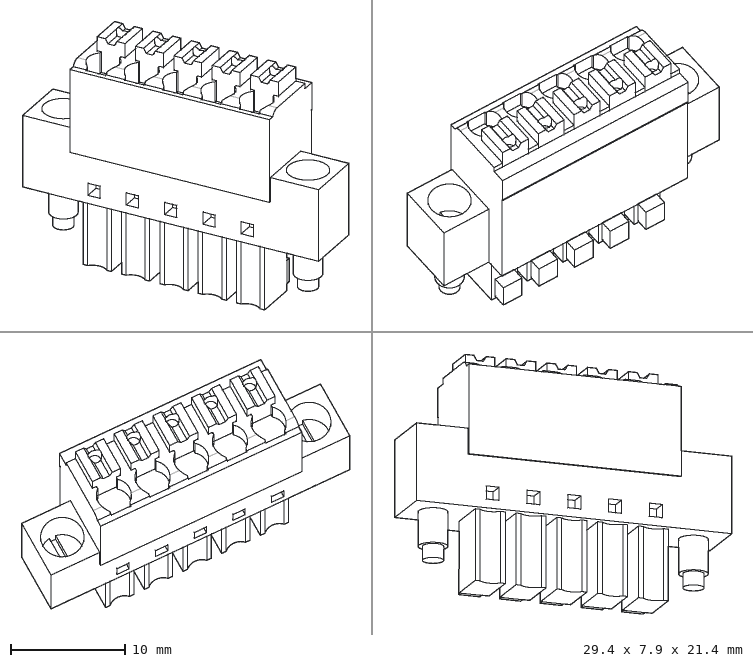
import cadquery as cq
import math


pole_count = 5
pole_pitch = 3.81
pole_positions = [(i - (pole_count - 1) / 2) * pole_pitch for i in range(pole_count)]

overall_width = 29.44
body_width = 19.84
base_front_y = 0.18
base_back_y = 5.8
flange_height = 7.1
front_panel_bottom_z = 4.72
body_back_y = 7.81
back_lip_y = 7.9
back_lip_bottom_z = 10.24
ledge_z = 12.93
body_top_z = 13.45
step_back_y = 6.6
round_front_y = 0.62
round_back_y = 1.42

entry_center_y = 1.95
entry_diameter = 3.06
entry_slot_width = 1.95
entry_slot_length = 2.84
entry_floor_z = 11.4

test_opening_size = 1.2
test_opening_z = 1.4
test_opening_depth = 1.5

finger_width = 2.8
finger_front_y = 0.8
finger_back_y = 4.92
finger_length = 6.55
finger_groove_width = 1.9
finger_groove_depth = 0.4
catch_width = 2.0
catch_back_y = 6.15
catch_top_z = -4.0
catch_bottom_z = -6.32

lever_width = 2.77
lever_front_y = entry_center_y + entry_slot_length / 2
lever_back_y = step_back_y
lever_top_z = 14.85
lever_groove_top_width = 1.15
lever_groove_floor_width = 0.63
lever_groove_depth = 0.45
lever_hole_diameter = 1.2
lever_hole_y = 5.59
lever_hole_depth = 1.5

screw_positions = [-12.16, 12.16]
screw_y = (base_front_y + base_back_y) / 2
screw_head_diameter = 3.8
screw_head_bottom_z = 1.5
screw_head_top_z = 3.5
screw_slot_width = 0.62
screw_slot_depth = 0.8
screw_shank_diameter = 2.6
screw_shank_end_z = -3.16
screw_tip_diameter = 1.88
screw_tip_end_z = -4.44


def block(x_center, width, y_range, z_range):
    """Box centred on x_center, spanning the given Y and Z ranges."""
    depth = y_range[1] - y_range[0]
    height = z_range[1] - z_range[0]
    corner = (x_center - width / 2, y_range[0], z_range[0])
    return cq.Workplane("XY").box(width, depth, height, centered=False).translate(corner)


def upright_cylinder(x, y, diameter, z_range):
    """Vertical cylinder between two heights."""
    height = z_range[1] - z_range[0]
    return cq.Workplane("XY", origin=(x, y, z_range[0])).circle(diameter / 2).extrude(height)


def make_body_block():
    """Main block: stepped back, rounded front shoulder, shallow lips front and back."""
    drop = body_top_z - ledge_z
    run = round_back_y - round_front_y
    radius = (run**2 + drop**2) / (2 * drop)
    half_angle = math.asin(run / radius) / 2
    shoulder_mid = (
        round_back_y - radius * math.sin(half_angle),
        body_top_z - radius * (1 - math.cos(half_angle)),
    )
    return (
        cq.Workplane("YZ", origin=(-body_width / 2, 0, 0))
        .moveTo(base_front_y, 0)
        .lineTo(base_front_y, front_panel_bottom_z)
        .lineTo(0, front_panel_bottom_z)
        .lineTo(0, ledge_z)
        .lineTo(round_front_y, ledge_z)
        .threePointArc(shoulder_mid, (round_back_y, body_top_z))
        .lineTo(step_back_y, body_top_z)
        .lineTo(step_back_y, ledge_z)
        .lineTo(back_lip_y, ledge_z)
        .lineTo(back_lip_y, back_lip_bottom_z)
        .lineTo(body_back_y, back_lip_bottom_z)
        .lineTo(body_back_y, 0)
        .close()
        .extrude(body_width)
    )


def make_finger(x):
    """Plug finger under the housing: concave groove down the front, catch at the back."""
    finger = block(x, finger_width, (finger_front_y, finger_back_y), (-finger_length, 0))
    catch = block(x, catch_width, (finger_back_y, catch_back_y), (catch_bottom_z, catch_top_z))
    half_width = finger_groove_width / 2
    groove_radius = (half_width**2 + finger_groove_depth**2) / (2 * finger_groove_depth)
    groove_axis_y = finger_front_y + finger_groove_depth - groove_radius
    groove = upright_cylinder(x, groove_axis_y, 2 * groove_radius, (-finger_length, 0))
    return finger.union(catch).cut(groove)


def make_wire_entry(x):
    """Cutter for a wire entry: round hole with flat-ended reliefs front and back."""
    z_range = (entry_floor_z, body_top_z)
    half_length = entry_slot_length / 2
    y_range = (entry_center_y - half_length, entry_center_y + half_length)
    hole = upright_cylinder(x, entry_center_y, entry_diameter, z_range)
    relief = block(x, entry_slot_width, y_range, z_range)
    reach = block(x, entry_diameter, y_range, z_range)
    return hole.intersect(reach).union(relief)


def make_lever_blank(x):
    """Plain lever block, also used to cut its pocket in the housing."""
    return block(x, lever_width, (lever_front_y, lever_back_y), (entry_floor_z, lever_top_z))


def make_test_opening(x):
    """Cutter for the square opening in the front face below a pole."""
    half_size = test_opening_size / 2
    return block(
        x,
        test_opening_size,
        (base_front_y, base_front_y + test_opening_depth),
        (test_opening_z - half_size, test_opening_z + half_size),
    )


def make_screw_bore(x):
    """Cutter for a counterbored screw hole through a flange."""
    bore = upright_cylinder(x, screw_y, screw_head_diameter, (screw_head_bottom_z, flange_height))
    return bore.union(upright_cylinder(x, screw_y, screw_shank_diameter, (0, screw_head_bottom_z)))


def make_housing():
    """Insulating housing with flanges, wire entries, lever pockets and plug fingers."""
    flanges = block(0, overall_width, (base_front_y, base_back_y), (0, flange_height))
    body = make_body_block().union(flanges)
    for x in pole_positions:
        body = body.union(make_finger(x))
        body = body.cut(make_wire_entry(x))
        body = body.cut(make_lever_blank(x))
        body = body.cut(make_test_opening(x))
    for x in screw_positions:
        body = body.cut(make_screw_bore(x))
    return body


def make_lever(x):
    """Release lever with a tapered top groove and a round probe hole."""
    groove_floor_z = lever_top_z - lever_groove_depth
    half_top = lever_groove_top_width / 2
    half_floor = lever_groove_floor_width / 2
    groove = (
        cq.Workplane("XZ", origin=(x, lever_back_y, 0))
        .moveTo(-half_top, lever_top_z)
        .lineTo(-half_floor, groove_floor_z)
        .lineTo(half_floor, groove_floor_z)
        .lineTo(half_top, lever_top_z)
        .close()
        .extrude(lever_back_y - lever_front_y)
    )
    hole_range = (lever_top_z - lever_hole_depth, lever_top_z)
    probe_hole = upright_cylinder(x, lever_hole_y, lever_hole_diameter, hole_range)
    return make_lever_blank(x).cut(groove).cut(probe_hole)


def make_screw(x):
    """Slotted flange screw with a stepped shank."""
    head = upright_cylinder(x, screw_y, screw_head_diameter, (screw_head_bottom_z, screw_head_top_z))
    shank = upright_cylinder(x, screw_y, screw_shank_diameter, (screw_shank_end_z, screw_head_bottom_z))
    tip = upright_cylinder(x, screw_y, screw_tip_diameter, (screw_tip_end_z, screw_shank_end_z))
    head_radius = screw_head_diameter / 2
    slot = block(
        x,
        screw_slot_width,
        (screw_y - head_radius, screw_y + head_radius),
        (screw_head_top_z - screw_slot_depth, screw_head_top_z),
    )
    return head.union(shank).union(tip).cut(slot)


housing = make_housing().solids()
levers = [make_lever(x).solids().val() for x in pole_positions]
screws = [make_screw(x).solids().val() for x in screw_positions]

result = cq.Compound.makeCompound([housing.val(), *levers, *screws])